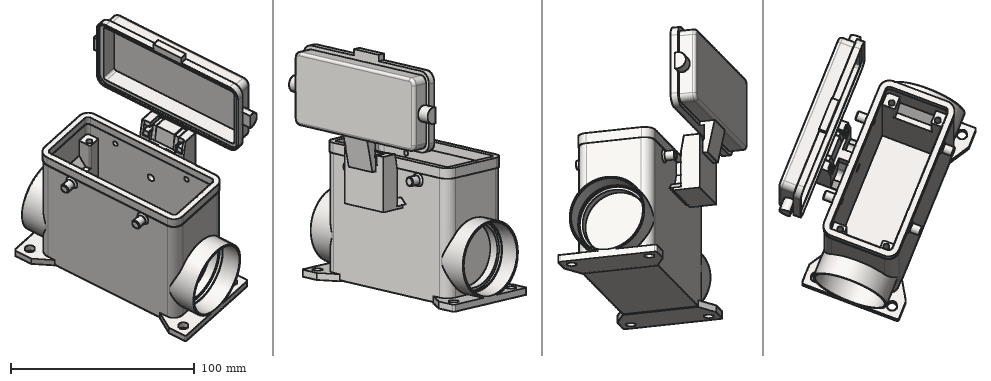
import cadquery as cq

TOTAL_LENGTH = 117.0
TOTAL_DEPTH = 75.2
TOTAL_HEIGHT = 137.8
FOOT_HALF_DEPTH = 28.4
LID_BACK_Y = TOTAL_DEPTH - FOOT_HALF_DEPTH
HALF_LENGTH = TOTAL_LENGTH / 2

BOX_HALF_X = 46.8
BOX_HALF_Y = 21.6
BOX_BOTTOM_Z = 0.5
BOX_TOP_Z = 77.1
BOX_CORNER_RADIUS = 6.0
LIP_STEP = 0.3
LIP_BOTTOM_Z = 71.2
CAVITY_HALF_X = 43.4
CAVITY_HALF_Y = 18.0
CAVITY_CORNER_RADIUS = 2.2
CAVITY_RIM_STEP = 0.1
CAVITY_RIM_Z = 72.2
FLOOR_Z = 4.0

POST_INNER_X = 35.8
POST_INNER_Y = 10.6
POST_TOP_Z = 64.6
POST_CORNER_RADIUS = 0.8
POST_HOLE_X = 38.6
POST_HOLE_Y = 13.5
POST_HOLE_RADIUS = 1.7
POST_HOLE_DEPTH = 13.8
RAMP_TOP_Z = 53.5
RAMP_FOOT_X = 39.0
SHELF_Z = 47.8

FOOT_THICKNESS = 4.0
FOOT_FLAT_X = 47.0
FOOT_INNER_X = 35.8
FOOT_CORNER_RADIUS = 1.1
FOOT_HOLE_X = 52.3
FOOT_HOLE_Y = 22.3
FOOT_HOLE_RADIUS = 2.8

ENTRY_Z = 24.8
ENTRY_RADIUS = 21.5
ENTRY_MOUTH_RADIUS = 20.5
ENTRY_STEP_RADIUS = 20.2
ENTRY_SEAT_RADIUS = 19.7
ENTRY_STEP_X = 47.5
ENTRY_SEAT_X = 45.7
ENTRY_HOLE_RADIUS = 18.2
ENTRY_HOLE_END_X = 40.4

PEG_X = 24.2
PEG_Z = 67.4
PEG_RADIUS = 2.6
PEG_CHAMFER = 0.4
COLLAR_RADIUS = 3.7
COLLAR_LENGTH = 1.1
PEG_HOLE_RADIUS = 1.5
WALL_HOLE_DEPTH = 4.8

BRACKET_HALF_X = 14.9
BRACKET_FRONT_Y = 28.2
BRACKET_BACK_Y = 39.0
BRACKET_BOTTOM_Z = 50.4
BRACKET_TOP_Z = 81.5
BRACKET_SLOPE_Z = 72.5
BRACKET_TOP_FRONT_Y = 29.9
BRACKET_TOE_Y = 23.8
BRACKET_TOE_THICKNESS = 1.5
BRACKET_WALL = 1.7
KNUCKLE_HALF_X = 8.8
KNUCKLE_TOP_Z = 80.9
SHOULDER_SETBACK = 1.8
KNUCKLE_SHOULDER_Z = 80.0
PANEL_HALF_X = 6.2
PANEL_BOTTOM_Y = 30.2
PANEL_TOP_Y = 31.3
SLIT_WIDTH = 0.8
SLIT_DEPTH = 5.5
CHEEK_RECESS = 0.5
POCKET_TOP_Z = 78.8
POCKET_FLOOR_Z = 75.3
POCKET_BACK_Y = 34.5
BRACKET_SCREW_Z = 55.4
BRACKET_SCREW_RADIUS = 2.2

WEB_HALF_X = 2.8
WEB_TOP_Z = 70.7
CRADLE_TOP_Z = 63.2
CRADLE_INNER_X = 5.0
CRADLE_INNER_Z = 57.5
CRADLE_DIP_X = 8.3
CRADLE_DIP_Z = 54.0
CRADLE_PEAK_X = 11.2
CRADLE_PEAK_Z = 55.4

LID_Z = 111.3
RIM_HALF_X = 48.2
RIM_HALF_Z = 22.9
RIM_FRONT_Y = 33.0
RIM_DEPTH = 4.3
RIM_CORNER_RADIUS = 6.0
LID_INSET = 2.2
LID_CORNER_RADIUS = RIM_CORNER_RADIUS - LID_INSET
LID_BACK_ROUND = 1.8
LID_BACK_THICKNESS = 2.9
SEAT_INSET = 1.1
SEAT_DEPTH = 1.4
LID_CAVITY_INSET = 3.7
LID_CAVITY_CORNER_RADIUS = 1.7
RIM_BACK_Y = RIM_FRONT_Y + RIM_DEPTH

TOP_TAB_HALF_X = 9.5
SIDE_TAB_END_X = 53.3
SIDE_TAB_RADIUS = 4.7
SIDE_TAB_Y = 38.8
ARM_HALF_X = 9.1
ARM_BOTTOM_Z = 72.5
ARM_BOTTOM_BACK_Y = 41.7
ARM_ROOT_Z = 91.6
ARM_FRONT_Y = 39.7
ARM_CONTACT_Z = 80.6


def box(x0, x1, y0, y1, z0, z1):
    """Block between two corner points."""
    return cq.Workplane("XY").box(x1 - x0, y1 - y0, z1 - z0, centered=False).translate((x0, y0, z0))


def upright_prism(half_x, half_y, radius, z0, z1):
    """Rounded rectangle centred on the Z axis."""
    return box(-half_x, half_x, -half_y, half_y, z0, z1).edges("|Z").fillet(radius)


def lid_prism(inset, radius, y0, y1):
    """Rounded rectangle lying in XZ, inset from the rim outline of the lid."""
    half_x = RIM_HALF_X - inset
    half_z = RIM_HALF_Z - inset
    return box(-half_x, half_x, y0, y1, LID_Z - half_z, LID_Z + half_z).edges("|Y").fillet(radius)


def across_x(half_x, points):
    """Extrude a (y, z) outline symmetrically along X."""
    return cq.Workplane("YZ").polyline(points).close().extrude(half_x, both=True)


def both_ends(solid):
    """Add the mirror copy at the opposite X end."""
    return solid.union(solid.mirror("YZ"))


def hole_along_y(x, z, radius, y0, y1):
    """Cylinder along Y from y0 to y1."""
    return cq.Workplane("XZ", origin=(x, y0, z)).circle(radius).extrude(y0 - y1)


def make_shell():
    body = upright_prism(BOX_HALF_X, BOX_HALF_Y, BOX_CORNER_RADIUS, BOX_BOTTOM_Z, BOX_TOP_Z)
    lip = upright_prism(BOX_HALF_X + LIP_STEP, BOX_HALF_Y + LIP_STEP,
                        BOX_CORNER_RADIUS, LIP_BOTTOM_Z, BOX_TOP_Z)
    return body.union(lip)


def make_foot():
    """Plate under the +X end with its two mounting holes."""
    outline = [
        (HALF_LENGTH, -FOOT_HALF_DEPTH),
        (HALF_LENGTH, FOOT_HALF_DEPTH),
        (FOOT_FLAT_X, FOOT_HALF_DEPTH),
        (FOOT_INNER_X, BOX_HALF_Y),
        (FOOT_INNER_X, -BOX_HALF_Y),
        (FOOT_FLAT_X, -FOOT_HALF_DEPTH),
    ]
    plate = cq.Workplane("XY").polyline(outline).close().extrude(FOOT_THICKNESS)
    plate = plate.edges("|Z and >X").fillet(FOOT_CORNER_RADIUS)
    holes = (
        cq.Workplane("XY")
        .pushPoints([(FOOT_HOLE_X, FOOT_HOLE_Y), (FOOT_HOLE_X, -FOOT_HOLE_Y)])
        .circle(FOOT_HOLE_RADIUS)
        .extrude(FOOT_THICKNESS)
    )
    return plate.cut(holes)


def make_entry_tube():
    return (
        cq.Workplane("YZ", origin=(POST_INNER_X, 0, ENTRY_Z))
        .circle(ENTRY_RADIUS)
        .extrude(HALF_LENGTH - POST_INNER_X)
    )


def make_entry_bore():
    """Slightly tapered bore, a small step, a flat seat, then a narrower blind hole."""
    outline = [
        (ENTRY_HOLE_END_X, 0),
        (ENTRY_HOLE_END_X, ENTRY_HOLE_RADIUS),
        (ENTRY_SEAT_X, ENTRY_HOLE_RADIUS),
        (ENTRY_SEAT_X, ENTRY_SEAT_RADIUS),
        (ENTRY_STEP_X, ENTRY_SEAT_RADIUS),
        (ENTRY_STEP_X, ENTRY_STEP_RADIUS),
        (HALF_LENGTH, ENTRY_MOUTH_RADIUS),
        (HALF_LENGTH, 0),
    ]
    bore = cq.Workplane("XZ").polyline(outline).close().revolve(360, (0, 0), (1, 0))
    return bore.translate((0, 0, ENTRY_Z))


def make_cavity():
    """Hollow of the box, leaving the corner posts and end ramps standing."""
    cavity = upright_prism(CAVITY_HALF_X, CAVITY_HALF_Y, CAVITY_CORNER_RADIUS, POST_TOP_Z, BOX_TOP_Z)
    middle = box(-POST_INNER_X, POST_INNER_X, -CAVITY_HALF_Y, CAVITY_HALF_Y, FLOOR_Z, POST_TOP_Z)
    ramp_outline = [
        (0, SHELF_Z),
        (RAMP_FOOT_X, SHELF_Z),
        (CAVITY_HALF_X, RAMP_TOP_Z),
        (CAVITY_HALF_X, POST_TOP_Z),
        (0, POST_TOP_Z),
    ]
    ramp = cq.Workplane("XZ").polyline(ramp_outline).close().extrude(POST_INNER_Y, both=True)
    holes = (
        cq.Workplane("XY", origin=(0, 0, POST_TOP_Z - POST_HOLE_DEPTH))
        .rect(2 * POST_HOLE_X, 2 * POST_HOLE_Y, forConstruction=True)
        .vertices()
        .circle(POST_HOLE_RADIUS)
        .extrude(POST_HOLE_DEPTH)
    )
    rim = upright_prism(CAVITY_HALF_X + CAVITY_RIM_STEP, CAVITY_HALF_Y + CAVITY_RIM_STEP,
                        CAVITY_CORNER_RADIUS, CAVITY_RIM_Z, BOX_TOP_Z)
    hollow = cavity.union(middle).union(both_ends(ramp))
    for x in (-POST_INNER_X, POST_INNER_X):
        for y in (-POST_INNER_Y, POST_INNER_Y):
            corner = cq.selectors.BoxSelector(
                (x - POST_CORNER_RADIUS, y - POST_CORNER_RADIUS, SHELF_Z),
                (x + POST_CORNER_RADIUS, y + POST_CORNER_RADIUS, POST_TOP_Z),
            )
            hollow = hollow.edges("|Z").edges(corner).fillet(POST_CORNER_RADIUS)
    return hollow.union(rim).union(holes)


def make_peg():
    """Peg with a conical collar on the front wall at +X."""
    outline = [
        (0, -CAVITY_HALF_Y),
        (COLLAR_RADIUS, -CAVITY_HALF_Y),
        (COLLAR_RADIUS, -BOX_HALF_Y),
        (PEG_RADIUS, -BOX_HALF_Y - COLLAR_LENGTH),
        (PEG_RADIUS, PEG_CHAMFER - FOOT_HALF_DEPTH),
        (PEG_RADIUS - PEG_CHAMFER, -FOOT_HALF_DEPTH),
        (0, -FOOT_HALF_DEPTH),
    ]
    peg = cq.Workplane("XY").polyline(outline).close().revolve(360, (0, 0), (0, 1))
    return peg.translate((PEG_X, 0, PEG_Z))


def knuckle_clearance(half_x, bottom_y, top_y, top_z):
    """Space in front of and above a part of the knuckle, whose front leans back."""
    return across_x(half_x, [
        (BRACKET_TOE_Y, WEB_TOP_Z),
        (bottom_y, WEB_TOP_Z),
        (top_y, top_z),
        (BRACKET_BACK_Y, top_z),
        (BRACKET_BACK_Y, BRACKET_TOP_Z),
        (BRACKET_TOE_Y, BRACKET_TOP_Z),
    ])


def make_bracket():
    bracket = across_x(BRACKET_HALF_X, [
        (BRACKET_BACK_Y, BRACKET_BOTTOM_Z),
        (BRACKET_BACK_Y, BRACKET_TOP_Z),
        (BRACKET_TOP_FRONT_Y, BRACKET_TOP_Z),
        (BRACKET_FRONT_Y, BRACKET_SLOPE_Z),
        (BRACKET_FRONT_Y, BRACKET_BOTTOM_Z + BRACKET_TOE_THICKNESS),
        (BRACKET_TOE_Y, BRACKET_BOTTOM_Z + BRACKET_TOE_THICKNESS),
        (BRACKET_TOE_Y, BRACKET_BOTTOM_Z),
    ])

    shoulder_bottom_y = BRACKET_FRONT_Y + SHOULDER_SETBACK
    shoulder_top_y = BRACKET_TOP_FRONT_Y + SHOULDER_SETBACK
    panel_strip = box(-PANEL_HALF_X, PANEL_HALF_X, BRACKET_TOE_Y, BRACKET_BACK_Y, WEB_TOP_Z, BRACKET_TOP_Z)
    shoulders = knuckle_clearance(KNUCKLE_HALF_X, shoulder_bottom_y, shoulder_top_y, KNUCKLE_SHOULDER_Z)
    panel = knuckle_clearance(PANEL_HALF_X, PANEL_BOTTOM_Y, PANEL_TOP_Y, KNUCKLE_TOP_Z)
    bracket = bracket.cut(shoulders.cut(panel_strip)).cut(panel)

    slit_end_x = KNUCKLE_HALF_X + SLIT_WIDTH
    pocket_end_x = BRACKET_HALF_X - BRACKET_WALL
    slit = box(KNUCKLE_HALF_X, slit_end_x, BRACKET_TOE_Y, BRACKET_BACK_Y,
               BRACKET_TOP_Z - SLIT_DEPTH, BRACKET_TOP_Z)
    pocket = box(slit_end_x, pocket_end_x, BRACKET_FRONT_Y, POCKET_BACK_Y, POCKET_FLOOR_Z, POCKET_TOP_Z)
    recess_outline = [
        (BRACKET_FRONT_Y, BRACKET_SLOPE_Z),
        (BRACKET_FRONT_Y + CHEEK_RECESS, BRACKET_SLOPE_Z),
        (BRACKET_TOP_FRONT_Y + CHEEK_RECESS, BRACKET_TOP_Z),
        (BRACKET_FRONT_Y, BRACKET_TOP_Z),
    ]
    recess = (
        cq.Workplane("YZ", origin=(slit_end_x, 0, 0))
        .polyline(recess_outline)
        .close()
        .extrude(pocket_end_x - slit_end_x)
    )
    return bracket.cut(both_ends(slit.union(pocket).union(recess)))


def make_cradle():
    """Centre web with a hollowed shoulder on each side."""
    base_z = BRACKET_BOTTOM_Z + BRACKET_TOE_THICKNESS
    half = (
        cq.Workplane("XZ", origin=(0, BRACKET_FRONT_Y, 0))
        .moveTo(0, base_z)
        .lineTo(BRACKET_HALF_X, base_z)
        .lineTo(CRADLE_PEAK_X, CRADLE_PEAK_Z)
        .threePointArc((CRADLE_DIP_X, CRADLE_DIP_Z), (CRADLE_INNER_X, CRADLE_INNER_Z))
        .lineTo(WEB_HALF_X, CRADLE_TOP_Z)
        .lineTo(WEB_HALF_X, WEB_TOP_Z)
        .lineTo(0, WEB_TOP_Z)
        .close()
        .extrude(BRACKET_FRONT_Y - CAVITY_HALF_Y)
    )
    return both_ends(half)


def make_lid():
    back = lid_prism(LID_INSET, LID_CORNER_RADIUS, RIM_FRONT_Y, LID_BACK_Y)
    back = back.faces(">Y").edges().fillet(LID_BACK_ROUND)
    rim = lid_prism(0, RIM_CORNER_RADIUS, RIM_FRONT_Y, RIM_BACK_Y)
    top_tab = box(-TOP_TAB_HALF_X, TOP_TAB_HALF_X, RIM_FRONT_Y, RIM_BACK_Y, LID_Z, TOTAL_HEIGHT)
    side_tabs = (
        cq.Workplane("YZ", origin=(0, SIDE_TAB_Y, LID_Z))
        .circle(SIDE_TAB_RADIUS)
        .extrude(SIDE_TAB_END_X, both=True)
        .intersect(box(-HALF_LENGTH, HALF_LENGTH, RIM_BACK_Y, LID_BACK_Y, 0, TOTAL_HEIGHT))
    )
    arm = across_x(ARM_HALF_X, [
        (ARM_BOTTOM_BACK_Y, ARM_BOTTOM_Z),
        (LID_BACK_Y - LID_BACK_ROUND / 2, ARM_ROOT_Z),
        (RIM_BACK_Y, ARM_ROOT_Z),
        (RIM_BACK_Y, LID_Z - RIM_HALF_Z),
        (ARM_FRONT_Y, LID_Z - RIM_HALF_Z),
        (ARM_FRONT_Y, ARM_CONTACT_Z),
        (BRACKET_BACK_Y, ARM_CONTACT_Z),
        (BRACKET_BACK_Y, ARM_BOTTOM_Z),
    ])
    seat = lid_prism(SEAT_INSET, RIM_CORNER_RADIUS - SEAT_INSET, RIM_FRONT_Y, RIM_FRONT_Y + SEAT_DEPTH)
    cavity = lid_prism(LID_CAVITY_INSET, LID_CAVITY_CORNER_RADIUS,
                       RIM_FRONT_Y, LID_BACK_Y - LID_BACK_THICKNESS)
    return back.union(rim).union(top_tab).union(side_tabs).union(arm).cut(seat).cut(cavity)


def make_wall_holes():
    """Blind holes in the inner side of the walls, behind the pegs and the bracket."""
    end_y = CAVITY_HALF_Y + WALL_HOLE_DEPTH
    holes = hole_along_y(0, BRACKET_SCREW_Z, BRACKET_SCREW_RADIUS, CAVITY_HALF_Y, end_y)
    for x in (-PEG_X, PEG_X):
        for side in (-1, 1):
            holes = holes.union(hole_along_y(x, PEG_Z, PEG_HOLE_RADIUS, side * CAVITY_HALF_Y, side * end_y))
    return holes


front_pegs = both_ends(make_peg())
housing = (
    make_shell()
    .union(both_ends(make_foot()))
    .union(both_ends(make_entry_tube()))
    .union(front_pegs)
    .union(front_pegs.mirror("XZ"))
    .union(make_cradle())
    .cut(make_cavity())
    .cut(both_ends(make_entry_bore()))
    .cut(make_wall_holes())
)
result = housing.union(make_bracket()).union(make_lid())